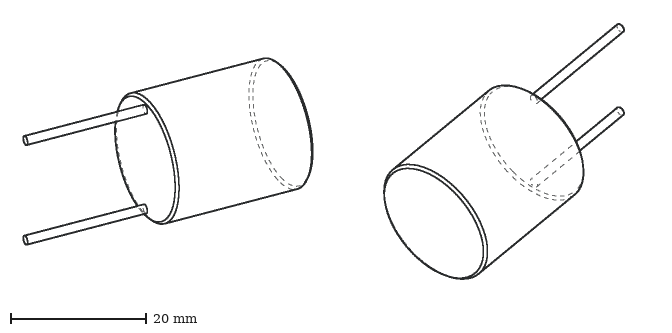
import cadquery as cq

total_length = 43.0
body_diameter = 20.0
body_length = 23.0
edge_chamfer = 0.45
lead_diameter = 1.4
lead_spacing = 17.0
lead_length = total_length - body_length


def make_body():
    """Cylinder from Y = 0 to +Y, with both rims chamfered."""
    body = cq.Workplane("XZ").circle(body_diameter / 2).extrude(-body_length)
    return body.faces("<Y or >Y").chamfer(edge_chamfer)


def make_leads():
    """Two round leads, one above the other, running from Y = 0 to -Y."""
    centers = [(0, -lead_spacing / 2), (0, lead_spacing / 2)]
    return cq.Workplane("XZ").pushPoints(centers).circle(lead_diameter / 2).extrude(lead_length)


result = make_body().union(make_leads())